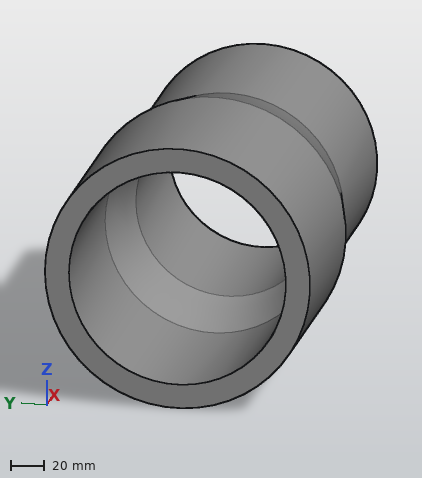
import cadquery as cq

total_length = 260.0
large_length = 111.3
small_length = 105.0
large_outer_diameter = 160.0
large_bore_diameter = 130.8
small_outer_diameter = 140.0
small_bore_diameter = 110.8

taper_end = total_length - small_length


def stepped_taper(large_diameter, small_diameter):
    """Solid of revolution about X: large cylinder, straight cone, small cylinder."""
    large_radius = large_diameter / 2
    small_radius = small_diameter / 2
    return (
        cq.Workplane("XY")
        .moveTo(0, 0)
        .lineTo(0, large_radius)
        .lineTo(large_length, large_radius)
        .lineTo(taper_end, small_radius)
        .lineTo(total_length, small_radius)
        .lineTo(total_length, 0)
        .close()
        .revolve(360, (0, 0, 0), (1, 0, 0))
    )


outer_body = stepped_taper(large_outer_diameter, small_outer_diameter)
bore = stepped_taper(large_bore_diameter, small_bore_diameter)

result = outer_body.cut(bore)